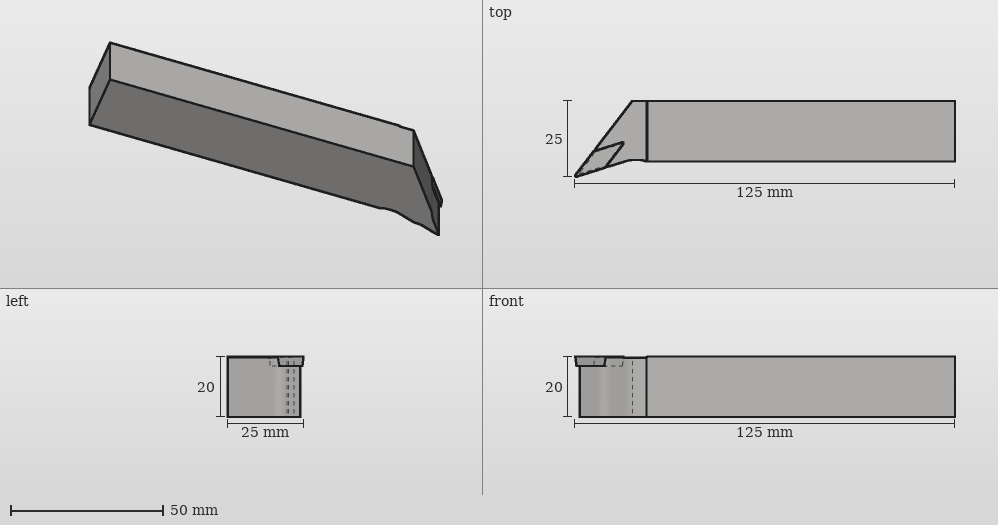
import cadquery as cq
import math

tool_length = 125.0
tip_reach = 25.0
shank_width = 20.0
shank_height = 20.0
shank_front_y = tip_reach - shank_width

nose_angle = math.radians(35.0)
lead_angle = math.radians(17.5)
inscribed_diameter = 6.35
insert_thickness = 3.18
insert_clearance = 7.0
nose_radius = 0.4

head_drop = 0.4
head_end_x = 23.4
seat_inset = 0.65
seat_nose_radius = 0.2
relief_start = 8.8
relief_end = 13.0
relief_middle = (relief_start + relief_end) / 2

scoop_start_x = 16.6
scoop_flat_start_x = 19.35
scoop_flat_end_x = 20.8

half_nose = nose_angle / 2
bisector = lead_angle + half_nose
nose_centre_distance = nose_radius / math.sin(half_nose)
nose_x = nose_radius - nose_centre_distance * math.cos(bisector)
nose_y = nose_radius - nose_centre_distance * math.sin(bisector)

LOWER = -1
UPPER = 1


def from_nose(along, across):
    """Point at a distance along the nose bisector and to the left of it."""
    x = nose_x + along * math.cos(bisector) - across * math.sin(bisector)
    y = nose_y + along * math.sin(bisector) + across * math.cos(bisector)
    return (x, y)


def flank_point(side, along, inset=0.0):
    """Point at a distance along one cutting edge, set inward from it."""
    forward = along * math.cos(half_nose) + inset * math.sin(half_nose)
    sideways = along * math.sin(half_nose) - inset * math.cos(half_nose)
    return from_nose(forward, side * sideways)


def make_insert():
    core_edge = (inscribed_diameter - 2 * nose_radius) / math.sin(nose_angle)
    half_length = core_edge * math.cos(half_nose)
    half_width = core_edge * math.sin(half_nose)
    centre = nose_centre_distance + half_length
    core_corners = [
        from_nose(nose_centre_distance, 0),
        from_nose(centre, -half_width),
        from_nose(centre + half_length, 0),
        from_nose(centre, half_width),
    ]
    return (
        cq.Workplane("XY")
        .workplane(offset=shank_height)
        .polyline(core_corners)
        .close()
        .offset2D(nose_radius)
        .extrude(-insert_thickness, taper=insert_clearance)
    )


def head_outline():
    seat_nose_distance = (seat_inset + seat_nose_radius) / math.sin(half_nose)
    seat_nose_tip = from_nose(seat_nose_distance - seat_nose_radius, 0)
    seat_tangent = seat_nose_distance * math.cos(half_nose)

    scoop_start_y = nose_y + (scoop_start_x - nose_x) * math.tan(lead_angle)
    scoop_run = scoop_flat_start_x - scoop_start_x
    scoop_flat_y = scoop_start_y + scoop_run * math.tan(lead_angle / 2)
    back_corner_x = nose_x + (tip_reach - nose_y) / math.tan(lead_angle + nose_angle)

    return (
        cq.Workplane("XY")
        .moveTo(*flank_point(UPPER, seat_tangent, seat_inset))
        .threePointArc(seat_nose_tip, flank_point(LOWER, seat_tangent, seat_inset))
        .lineTo(*flank_point(LOWER, relief_start, seat_inset))
        .tangentArcPoint(flank_point(LOWER, relief_middle, seat_inset / 2), relative=False)
        .tangentArcPoint(flank_point(LOWER, relief_end), relative=False)
        .lineTo(scoop_start_x, scoop_start_y)
        .tangentArcPoint((scoop_flat_start_x, scoop_flat_y), relative=False)
        .lineTo(scoop_flat_end_x, scoop_flat_y)
        .tangentArcPoint((head_end_x, shank_front_y), relative=False)
        .lineTo(tool_length, shank_front_y)
        .lineTo(tool_length, tip_reach)
        .lineTo(back_corner_x, tip_reach)
        .lineTo(*flank_point(UPPER, relief_end))
        .tangentArcPoint(flank_point(UPPER, relief_middle, seat_inset / 2), relative=False)
        .tangentArcPoint(flank_point(UPPER, relief_start, seat_inset), relative=False)
        .close()
    )


def make_holder(insert):
    body = head_outline().extrude(shank_height)
    head_top = shank_height - head_drop
    above_head = (
        cq.Workplane("XZ")
        .polyline([
            (0, head_top),
            (head_end_x, head_top),
            (head_end_x + head_drop, shank_height),
            (0, shank_height),
        ])
        .close()
        .extrude(-tip_reach)
    )
    return body.cut(above_head).cut(insert)


insert = make_insert()
holder = make_holder(insert)
result = cq.Compound.makeCompound([holder.val(), insert.val()])